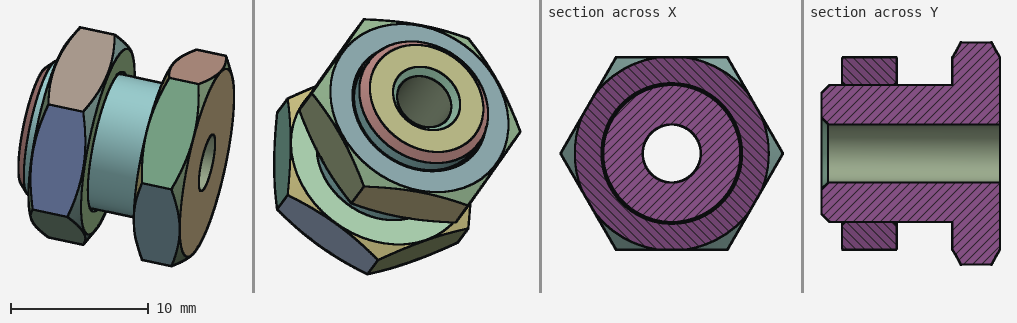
import cadquery as cq
import math

total_length = 13.0
across_corners = 16.17
corner_chamfer_angle = 30.0

shank_radius = 5.0
tip_chamfer = 0.6
bore_radius = 2.1
bore_countersink = 0.5

head_thickness = 3.5
head_face_radius = 6.99

nut_thickness = 4.0
nut_face_radius = 6.9
nut_offset = 1.5
nut_countersink = 0.2

tip_x = -total_length / 2
head_x = total_length / 2 - head_thickness
nut_x = tip_x + nut_offset


def disc(start_x, radius, length):
    """Cylinder along +X that starts at start_x."""
    return cq.Workplane("YZ", origin=(start_x, 0, 0)).circle(radius).extrude(length)


def countersink(face_x, hole_radius, depth, direction):
    """45 degree cone that widens a hole at face_x; direction is +1 or -1, pointing into the material."""
    return cq.Workplane(
        cq.Solid.makeCone(
            hole_radius + depth, hole_radius, depth,
            pnt=cq.Vector(face_x, 0, 0), dir=cq.Vector(direction, 0, 0),
        )
    )


def chamfered_hexagon(start_x, thickness, face_radius, rotation):
    """Hexagonal prism along +X with its corners turned off conically at both faces."""
    corner_radius = across_corners / 2
    chamfer_length = (corner_radius - face_radius) * math.tan(math.radians(corner_chamfer_angle))
    prism = (
        cq.Workplane("YZ", origin=(start_x, 0, 0))
        .transformed(rotate=(0, 0, rotation))
        .polygon(6, across_corners)
        .extrude(thickness)
    )
    turned_blank = (
        cq.Workplane("XY")
        .moveTo(start_x, 0)
        .lineTo(start_x, face_radius)
        .lineTo(start_x + chamfer_length, corner_radius)
        .lineTo(start_x + thickness - chamfer_length, corner_radius)
        .lineTo(start_x + thickness, face_radius)
        .lineTo(start_x + thickness, 0)
        .close()
        .revolve(360, (0, 0, 0), (1, 0, 0))
    )
    return prism.intersect(turned_blank)


def make_fitting():
    """Hexagon head with a round shank and a countersunk through bore."""
    head = chamfered_hexagon(head_x, head_thickness, head_face_radius, 90)
    shank = disc(tip_x, shank_radius, head_x - tip_x).faces("<X").chamfer(tip_chamfer)
    return (
        head.union(shank)
        .cut(disc(tip_x, bore_radius, total_length))
        .cut(countersink(tip_x, bore_radius, bore_countersink, 1))
    )


def make_nut():
    """Hexagon nut on the shank, with its hole countersunk at both faces."""
    nut = chamfered_hexagon(nut_x, nut_thickness, nut_face_radius, 0)
    return (
        nut.cut(disc(nut_x, shank_radius, nut_thickness))
        .cut(countersink(nut_x, shank_radius, nut_countersink, 1))
        .cut(countersink(nut_x + nut_thickness, shank_radius, nut_countersink, -1))
    )


fitting = make_fitting()
nut = make_nut()

result = cq.Compound.makeCompound([fitting.solids().val(), nut.solids().val()])